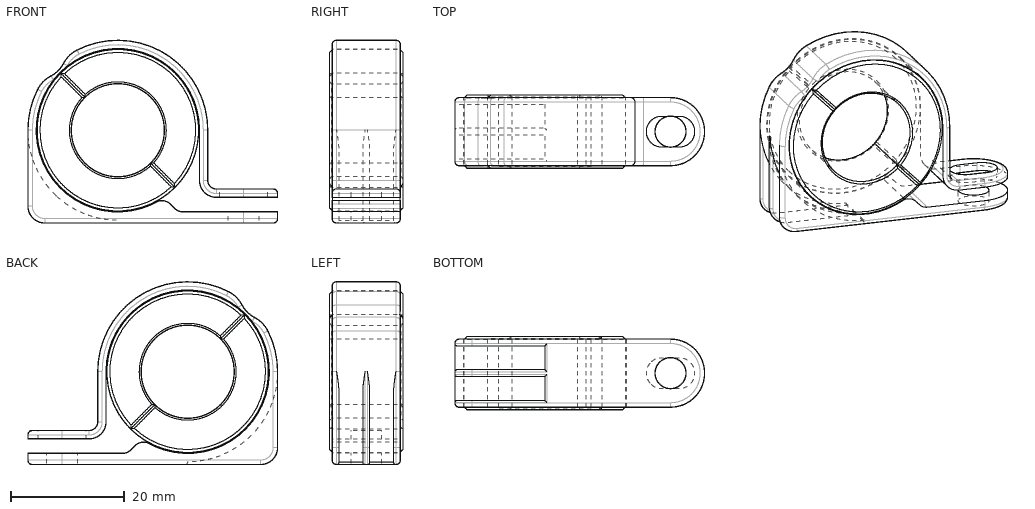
import cadquery as cq
import math


RING_RADIUS = 14.2
RING_HOLE_RADIUS = 8.15
RING_WIDTH = 12.9
RING_OUTER_CHAMFER = 0.55
RING_HOLE_CHAMFER = 0.35
SPLIT_CHAMFER = 0.4
SPLIT_ANGLE = 135

BORE_RADIUS = 14.3
WALL = 1.5
HOUSING_RADIUS = BORE_RADIUS + WALL
HOUSING_WIDTH = 12.0
BASE_THICKNESS = 2.0
BASE_TOP = -BORE_RADIUS
BASE_BOTTOM = BASE_TOP - BASE_THICKNESS
BASE_CORNER_RADIUS = 3.0
EDGE_FILLET = 0.8

TAB_GAP = 2.5
STRAP_BOTTOM = BASE_TOP + TAB_GAP
STRAP_TOP = STRAP_BOTTOM + WALL
BEND_INNER_RADIUS = 1.5
BEND_OUTER_RADIUS = BEND_INNER_RADIUS + WALL
BEND_X = HOUSING_RADIUS + BEND_INNER_RADIUS
BEND_Z = STRAP_TOP + BEND_INNER_RADIUS
TAB_RADIUS = HOUSING_WIDTH / 2
HOLE_X = 22.05
TAB_END = HOLE_X + TAB_RADIUS
SCREW_DIAMETER = 5.4
SLOT_LENGTH = 8.5

HINGE_THICKNESS = 0.5
DENT_RADIUS = 5.0
SHOULDER_RADIUS = 5.5

TOOTH_TOP = -12.35
TOOTH_CREST_X = 7.8
TOOTH_FOOT_X = 11.4
TOOTH_ROUND = 2.0

RIB_THICKNESS = 1.2
RIB_COUNT = 3
RIB_FILLET = 0.39
RIB_PITCH = (HOUSING_WIDTH - RIB_THICKNESS) / (RIB_COUNT - 1)
POCKET_WIDTH = RIB_PITCH - RIB_THICKNESS
PICK_MARGIN = 0.01

LOWER_LEFT = 225
UPPER_RIGHT = 45


def polar(radius, degrees):
    """Point in XZ at a radius and angle about the ring axis."""
    angle = math.radians(degrees)
    return radius * math.cos(angle), radius * math.sin(angle)


def arc_point(center, radius, degrees):
    """Point on an arc about a center."""
    x, z = polar(radius, degrees)
    return center[0] + x, center[1] + z


def toward(start, end, distance):
    """Point at a distance from start in the direction of end."""
    share = distance / math.dist(start, end)
    return start[0] + share * (end[0] - start[0]), start[1] + share * (end[1] - start[1])


def side_plane(width):
    """XZ workplane placed so that extruding by the width gives a solid centred on Y = 0."""
    return cq.Workplane("XZ", origin=(0, width / 2, 0))


def add_hinge(outline):
    """Draws shoulder, dent, shoulder between the two ends of the housing arc, tangent throughout."""
    dent_distance = BORE_RADIUS + HINGE_THICKNESS + DENT_RADIUS
    shoulder_distance = HOUSING_RADIUS - SHOULDER_RADIUS
    centers_distance = DENT_RADIUS + SHOULDER_RADIUS
    cosine = (dent_distance**2 + shoulder_distance**2 - centers_distance**2) / (
        2 * dent_distance * shoulder_distance
    )
    spread = math.degrees(math.acos(cosine))
    dent = polar(dent_distance, SPLIT_ANGLE)
    left, right = (polar(shoulder_distance, SPLIT_ANGLE + side * spread) for side in (1, -1))
    left_start = polar(HOUSING_RADIUS, SPLIT_ANGLE + spread)
    right_end = polar(HOUSING_RADIUS, SPLIT_ANGLE - spread)
    left_end = toward(left, dent, SHOULDER_RADIUS)
    right_start = toward(right, dent, SHOULDER_RADIUS)
    dent_normal = math.degrees(math.atan2(dent[1] - left[1], dent[0] - left[0]))
    half_turn = (SPLIT_ANGLE + spread - dent_normal) / 2
    left_middle = arc_point(left, SHOULDER_RADIUS, dent_normal + half_turn)
    right_middle = arc_point(right, SHOULDER_RADIUS, 2 * SPLIT_ANGLE - dent_normal - half_turn)
    dent_middle = polar(dent_distance - DENT_RADIUS, SPLIT_ANGLE)
    return (
        outline.threePointArc(polar(HOUSING_RADIUS, (180 + SPLIT_ANGLE + spread) / 2), left_start)
        .threePointArc(left_middle, left_end)
        .threePointArc(dent_middle, right_start)
        .threePointArc(right_middle, right_end)
        .threePointArc(polar(HOUSING_RADIUS, (SPLIT_ANGLE - spread) / 2), (HOUSING_RADIUS, 0))
    )


def housing_block():
    """Filled outer shape of the housing, with rounded tab end and rounded outer edges."""
    corner = (-HOUSING_RADIUS + BASE_CORNER_RADIUS, BASE_BOTTOM + BASE_CORNER_RADIUS)
    outline = (
        side_plane(HOUSING_WIDTH)
        .moveTo(TAB_END, BASE_BOTTOM)
        .lineTo(corner[0], BASE_BOTTOM)
        .threePointArc(arc_point(corner, BASE_CORNER_RADIUS, LOWER_LEFT), (-HOUSING_RADIUS, corner[1]))
        .lineTo(-HOUSING_RADIUS, 0)
    )
    outline = (
        add_hinge(outline)
        .lineTo(HOUSING_RADIUS, BEND_Z)
        .threePointArc(arc_point((BEND_X, BEND_Z), BEND_INNER_RADIUS, LOWER_LEFT), (BEND_X, STRAP_TOP))
        .lineTo(TAB_END, STRAP_TOP)
        .close()
    )
    block = outline.extrude(HOUSING_WIDTH)
    plan = (
        cq.Workplane("XY", origin=(0, 0, BASE_BOTTOM))
        .moveTo(-HOUSING_RADIUS, TAB_RADIUS)
        .lineTo(HOLE_X, TAB_RADIUS)
        .threePointArc((TAB_END, 0), (HOLE_X, -TAB_RADIUS))
        .lineTo(-HOUSING_RADIUS, -TAB_RADIUS)
        .close()
        .extrude(HOUSING_RADIUS - BASE_BOTTOM)
    )
    return block.intersect(plan).edges(">X").fillet(EDGE_FILLET)


def inner_cut():
    """Ring bore joined with the gap between strap and base, shaped around the tooth."""
    bore = side_plane(HOUSING_WIDTH).circle(BORE_RADIUS).extrude(HOUSING_WIDTH)
    bend = (BEND_X, BEND_Z)
    foot = (TOOTH_FOOT_X, BASE_TOP + TOOTH_ROUND)
    crest = (TOOTH_CREST_X, TOOTH_TOP - TOOTH_ROUND)
    foot_end = arc_point(foot, TOOTH_ROUND, LOWER_LEFT)
    gap = (
        side_plane(HOUSING_WIDTH)
        .moveTo(0, 0)
        .lineTo(BORE_RADIUS, 0)
        .lineTo(BORE_RADIUS, BEND_Z)
        .threePointArc(arc_point(bend, BEND_OUTER_RADIUS, LOWER_LEFT), (BEND_X, STRAP_BOTTOM))
        .lineTo(TAB_END, STRAP_BOTTOM)
        .lineTo(TAB_END, BASE_TOP)
        .lineTo(TOOTH_FOOT_X, BASE_TOP)
        .threePointArc(arc_point(foot, TOOTH_ROUND, (LOWER_LEFT + 270) / 2), foot_end)
        .lineTo(*arc_point(crest, TOOTH_ROUND, UPPER_RIGHT))
        .threePointArc(arc_point(crest, TOOTH_ROUND, (UPPER_RIGHT + 90) / 2), (TOOTH_CREST_X, TOOTH_TOP))
        .lineTo(0, TOOTH_TOP)
        .close()
        .extrude(HOUSING_WIDTH)
    )
    return bore.union(gap)


def ribbed_block():
    """Housing block with its lower left corner reduced to ribs, under a shell that follows the bore."""
    block = housing_block()
    pocket_spots = [(index - (RIB_COUNT - 2) / 2) * RIB_PITCH for index in range(RIB_COUNT - 1)]
    pocket = cq.Workplane("XY").box(
        HOUSING_RADIUS, POCKET_WIDTH, -BASE_BOTTOM, centered=(False, True, False)
    )
    for y in pocket_spots:
        block = block.cut(pocket.translate((-HOUSING_RADIUS, y, BASE_BOTTOM)))
    for y in pocket_spots:
        reach = POCKET_WIDTH / 2 + PICK_MARGIN
        rim = cq.selectors.BoxSelector(
            (-HOUSING_RADIUS - PICK_MARGIN, y - reach, BASE_BOTTOM - PICK_MARGIN),
            (PICK_MARGIN, y + reach, -PICK_MARGIN),
        )
        edges = block.faces("<Z or <X").edges(rim)
        block = block.newObject(edges.vals()).fillet(RIB_FILLET)
    shell_width = HOUSING_WIDTH - 2 * EDGE_FILLET
    shell = (
        side_plane(shell_width)
        .moveTo(0, 0)
        .lineTo(-HOUSING_RADIUS, 0)
        .threePointArc(polar(HOUSING_RADIUS, LOWER_LEFT), (0, -HOUSING_RADIUS))
        .close()
        .extrude(shell_width)
    )
    return block.union(shell)


def housing():
    """Housing: ribbed block, opened for the ring and the gap, with a screw hole and slot."""
    body = ribbed_block().cut(inner_cut())
    hole = (
        cq.Workplane("XY", origin=(HOLE_X, 0, BASE_BOTTOM))
        .circle(SCREW_DIAMETER / 2)
        .extrude(BASE_THICKNESS)
    )
    slot = (
        cq.Workplane("XY", origin=(HOLE_X, 0, STRAP_BOTTOM))
        .slot2D(SLOT_LENGTH, SCREW_DIAMETER)
        .extrude(WALL)
    )
    return body.cut(hole).cut(slot)


def half_ring(turn):
    """Half of the ring, above the split plane for no turn and below it for a turn of 180 degrees."""
    ring = side_plane(RING_WIDTH).circle(RING_RADIUS).extrude(RING_WIDTH)
    ring = ring.edges().chamfer(RING_OUTER_CHAMFER)
    hole = side_plane(RING_WIDTH).circle(RING_HOLE_RADIUS).extrude(RING_WIDTH)
    ring = ring.cut(hole)
    ring = ring.edges(cq.selectors.RadiusNthSelector(0)).chamfer(RING_HOLE_CHAMFER)
    half_space = (
        cq.Workplane("XY")
        .box(2 * HOUSING_RADIUS, RING_WIDTH, HOUSING_RADIUS, centered=(True, True, False))
        .faces("<Z")
        .edges("|X")
        .chamfer(SPLIT_CHAMFER)
        .rotate((0, 0, 0), (0, 1, 0), 180 - SPLIT_ANGLE + turn)
    )
    return ring.intersect(half_space)


clamp = housing()
half_rings = [half_ring(turn) for turn in (0, 180)]
result = cq.Compound.makeCompound(
    [clamp.solids().val(), *[half.solids().val() for half in half_rings]]
)